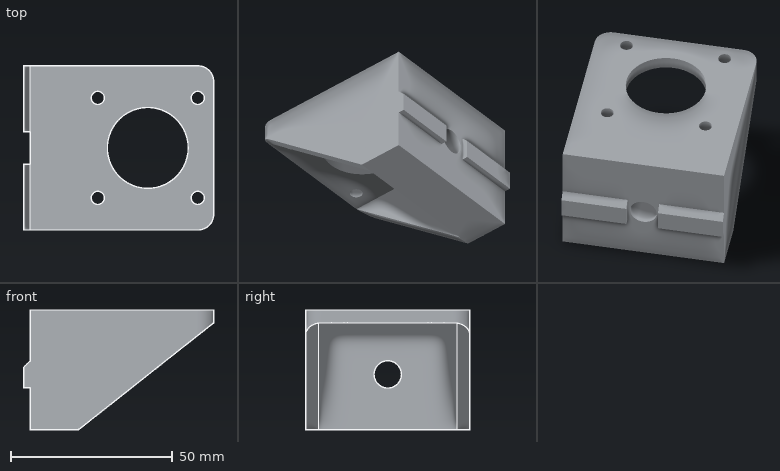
import cadquery as cq

body_length = 57.0
body_width = 51.0
body_height = 37.21
plate_thickness = 4.0
back_wall_thickness = 15.0
corner_radius = 5.0

motor_width = 43.0
motor_center_x = back_wall_thickness + motor_width / 2
pilot_diameter = 25.0
screw_diameter = 4.0
screw_spacing = 31.0

bolt_diameter = 8.4
bolt_depth_below_top = 20.0
bolt_center_z = body_height - bolt_depth_below_top

rail_depth = 2.0
rail_height = bolt_diameter
rail_gap = 10.0
rail_bottom_z = bolt_center_z - rail_height / 2
rail_top_z = bolt_center_z + rail_height / 2


def make_body():
    """Block with a sloped underside and rounded free corners."""
    side_profile = [
        (0, 0),
        (back_wall_thickness, 0),
        (body_length, body_height - plate_thickness),
        (body_length, body_height),
        (0, body_height),
    ]
    body = cq.Workplane("XZ").polyline(side_profile).close().extrude(body_width / 2, both=True)
    return body.edges("|Z and >X").fillet(corner_radius)


def make_rails():
    """Two rails with a 45 degree upper edge, one on each side of the bolt."""
    rail_profile = [
        (0, rail_bottom_z),
        (-rail_depth, rail_bottom_z),
        (-rail_depth, rail_top_z - rail_depth),
        (0, rail_top_z),
    ]
    full_rail = cq.Workplane("XZ").polyline(rail_profile).close().extrude(body_width / 2, both=True)
    gap = cq.Workplane("XY").box(2 * rail_depth, rail_gap, 2 * body_height)
    return full_rail.cut(gap)


def make_motor_pocket():
    """Space below the top plate, open at the bottom and at the free end."""
    pocket_length = body_length - back_wall_thickness
    pocket_height = body_height - plate_thickness
    return (
        cq.Workplane("XY")
        .box(pocket_length, motor_width, pocket_height, centered=(False, True, False))
        .translate((back_wall_thickness, 0, 0))
    )


def make_plate_holes():
    """Pilot hole and four motor screw holes through the top plate."""
    top_plate = cq.Workplane("XY").center(motor_center_x, 0)
    pilot_hole = top_plate.circle(pilot_diameter / 2).extrude(body_height)
    screw_holes = (
        top_plate.rect(screw_spacing, screw_spacing, forConstruction=True)
        .vertices()
        .circle(screw_diameter / 2)
        .extrude(body_height)
    )
    return pilot_hole.union(screw_holes)


def make_bolt_hole():
    """Horizontal bolt hole through the back wall."""
    return (
        cq.Workplane("YZ")
        .center(0, bolt_center_z)
        .circle(bolt_diameter / 2)
        .extrude(back_wall_thickness)
    )


result = (
    make_body()
    .cut(make_motor_pocket())
    .cut(make_plate_holes())
    .cut(make_bolt_hole())
    .union(make_rails())
)